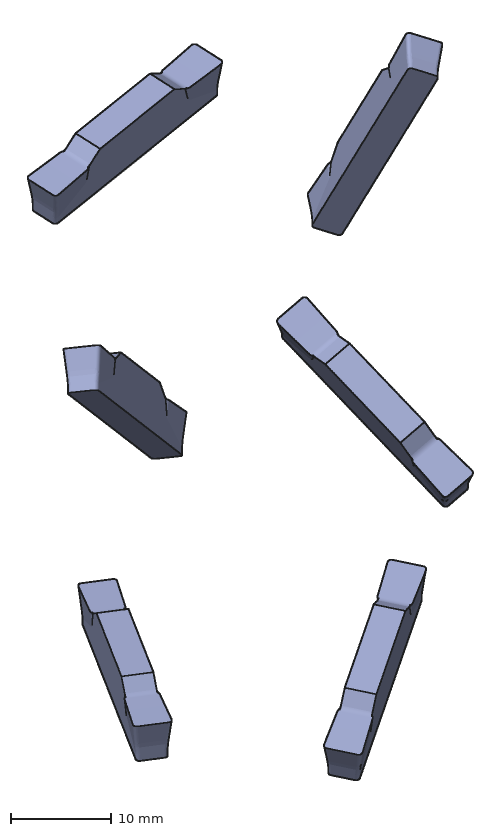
import cadquery as cq

half_length = 12.63
height = 5.78
body_half_width = 1.65

foot_y = 12.28
foot_top_z = 1.67
relief_bottom_z = 2.2
relief_bottom_y = 12.33
edge_z = 4.55
land_inner_y = 12.25
seat_outer_y = 9.65
rake_drop = 0.013
seat_z = edge_z - rake_drop
seat_inner_y = 7.63
curl_end_y = 7.05
ramp_top_y = 5.58
ramp_slope = 0.74
curl_end_z = height - ramp_slope * (curl_end_y - ramp_top_y)

head_front_half_width = 2.008
head_back_half_width = 1.82
head_back_y = 7.65
flare_tip_y = 6.82
flare_slope = 0.4
side_relief = 0.09
corner_radius = 0.4
flare_radius = 0.5

length_tolerance = 0.003


def side_profile():
    """Solid with the lengthwise outline, wider than the heads."""
    half_outline = (
        cq.Workplane("YZ")
        .moveTo(0, 0)
        .lineTo(foot_y, 0)
        .lineTo(foot_y, foot_top_z)
        .lineTo(relief_bottom_y, relief_bottom_z)
        .lineTo(half_length, edge_z)
        .lineTo(land_inner_y, edge_z)
        .lineTo(seat_outer_y, seat_z)
        .lineTo(seat_inner_y, seat_z)
    )
    half_outline = half_outline.tangentArcPoint((curl_end_y, curl_end_z), relative=False)
    half_outline = half_outline.lineTo(ramp_top_y, height).lineTo(0, height).close()
    half = half_outline.extrude(2 * body_half_width, both=True)
    return half.union(half.mirror("XZ"))


def head_outline(depth):
    """Plan outline of one head at a depth below its top, as half-width points."""
    inset = side_relief * depth
    front = head_front_half_width - inset
    back = head_back_half_width - inset
    tip = back - flare_slope * (head_back_y - flare_tip_y)
    side = [(front, half_length), (back, head_back_y), (tip, flare_tip_y)]
    return side + [(-x, y) for x, y in reversed(side)]


def head():
    """Side-relieved head, narrowing downwards and towards the body."""
    flared = (
        cq.Workplane("XY")
        .polyline(head_outline(edge_z)).close()
        .workplane(offset=edge_z)
        .polyline(head_outline(0)).close()
        .loft(ruled=True)
    )
    back_edges = flared.edges(
        cq.selectors.BoxSelector(
            (-head_front_half_width, head_back_y - length_tolerance, 0),
            (head_front_half_width, head_back_y + length_tolerance, edge_z),
        )
    )
    return back_edges.fillet(flare_radius)


def is_end_corner(edge):
    """True for the upright edges at the two ends of the insert."""
    box = edge.BoundingBox()
    at_end = min(abs(box.ymin), abs(box.ymax)) > foot_y - length_tolerance
    return at_end and box.zlen > length_tolerance


body = cq.Workplane("XY").box(
    2 * body_half_width, 2 * half_length, height, centered=(True, True, False)
)
one_head = head()
blank = body.union(one_head).union(one_head.mirror("XZ")).intersect(side_profile())
result = blank.edges().filter(is_end_corner).fillet(corner_radius)